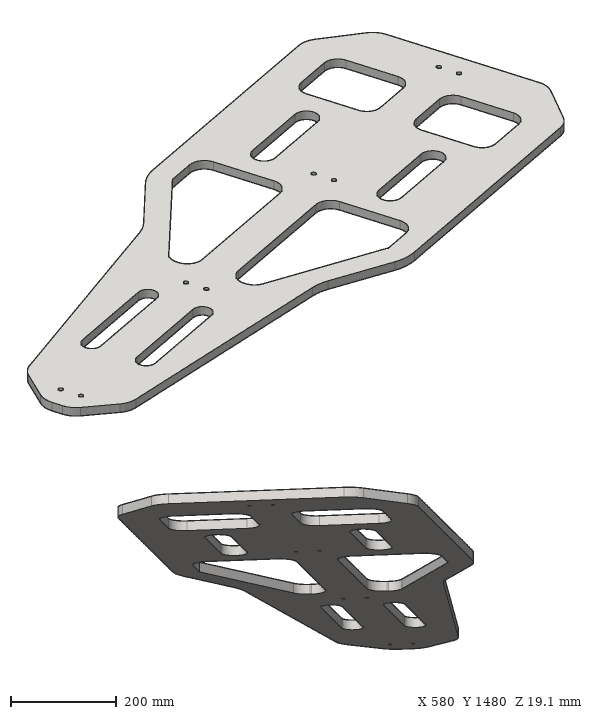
import cadquery as cq

thickness = 19.05
length = 1480.0
head_half_width = 290.0
head_y = length / 2
tail_y = -length / 2

head_chamfer = 100.0
shoulder_y = head_y - 680.0
waist_half_width = 195.0
waist_y = head_y - 845.0
tail_half_width = 115.5
tail_corner_y = tail_y + 74.5
tip_half_width = 30.0
end_corner_radius = 50.0
side_corner_radius = 100.0

rib_half_width = 40.0

window_width = 175.5
window_height = 144.0
window_top_y = head_y - 120.5
window_radius = 30.0

tapered_outer_x = 240.0
tapered_top_y = head_y - 569.0
tapered_knee_y = head_y - 665.0
tapered_bottom_x = 95.0
tapered_bottom_y = head_y - 918.0
tapered_radius = 33.0

head_slot_width = 50.5
head_slot_length = 205.5
head_slot_x = 140.0
head_slot_y = head_y - 417.5
tail_slot_width = 41.0
tail_slot_length = 246.0
tail_slot_x = rib_half_width + tail_slot_width / 2
tail_slot_y = head_y - 1152.5

hole_diameter = 6.0
counterbore_diameter = 10.0
counterbore_depth = 6.0
hole_pair_spacing = 45.0
hole_end_margin = 50.0
hole_inner_row_y = 233.0
hole_outer_row_y = length / 2 - hole_end_margin


SIDES = (-1, 1)


def round_corners(body, corners, radius):
    """Fillet the vertical edges standing at the given (x, y) corners."""
    for x, y in corners:
        nearest = cq.selectors.NearestToPointSelector((x, y, thickness / 2))
        body = body.edges("|Z").edges(nearest).fillet(radius)
    return body


def mirrored(points):
    """Points reflected across the YZ plane, in reverse order."""
    return [(-x, y) for x, y in reversed(points)]


def make_plate():
    head_corners = [
        (head_half_width - head_chamfer, head_y),
        (head_half_width, head_y - head_chamfer),
    ]
    side_corners = [(head_half_width, shoulder_y), (waist_half_width, waist_y)]
    tail_corners = [(tail_half_width, tail_corner_y), (tip_half_width, tail_y)]
    right_edge = head_corners + side_corners + tail_corners
    plate = cq.Workplane("XY").polyline(right_edge + mirrored(right_edge)).close().extrude(thickness)

    end_corners = head_corners + tail_corners
    plate = round_corners(plate, end_corners + mirrored(end_corners), end_corner_radius)
    return round_corners(plate, side_corners + mirrored(side_corners), side_corner_radius)


def make_head_window(side):
    x = side * (rib_half_width + window_width / 2)
    y = window_top_y - window_height / 2
    window = cq.Workplane("XY").center(x, y).rect(window_width, window_height).extrude(thickness)
    return window.edges("|Z").fillet(window_radius)


def make_tapered_window(side):
    rounded_corners = [
        (side * tapered_bottom_x, tapered_bottom_y),
        (side * rib_half_width, tapered_bottom_y),
        (side * rib_half_width, tapered_top_y),
        (side * tapered_outer_x, tapered_top_y),
    ]
    knee = (side * tapered_outer_x, tapered_knee_y)
    window = cq.Workplane("XY").polyline(rounded_corners + [knee]).close().extrude(thickness)
    return round_corners(window, rounded_corners, tapered_radius)


def make_slot(x, y, slot_length, slot_width):
    return cq.Workplane("XY").center(x, y).slot2D(slot_length, slot_width, 90).extrude(thickness)


def drill_holes(plate):
    rows = (-hole_outer_row_y, -hole_inner_row_y, hole_inner_row_y, hole_outer_row_y)
    points = [(side * hole_pair_spacing / 2, y) for y in rows for side in SIDES]
    top = plate.faces(">Z").workplane(origin=(0, 0, thickness))
    return top.pushPoints(points).cboreHole(hole_diameter, counterbore_diameter, counterbore_depth)


result = make_plate()
for side in SIDES:
    result = result.cut(make_head_window(side))
    result = result.cut(make_tapered_window(side))
    result = result.cut(make_slot(side * head_slot_x, head_slot_y, head_slot_length, head_slot_width))
    result = result.cut(make_slot(side * tail_slot_x, tail_slot_y, tail_slot_length, tail_slot_width))
result = drill_holes(result)